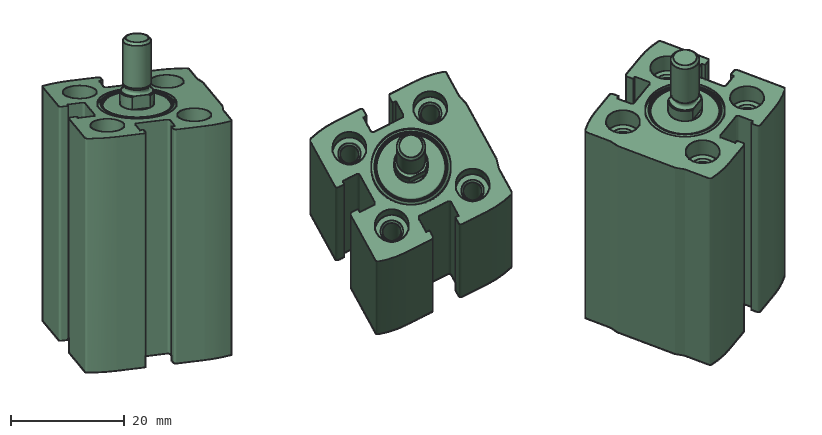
import cadquery as cq
import math

TOTAL_HEIGHT = 57.0
HOUSING_HEIGHT = 44.5
HALF_WIDTH = 13.5
TOP = HOUSING_HEIGHT

SIDE_FLAT_HALF = 8.1
SIDE_CURVE_RADIUS = 17.1
CORNER_FILLET = 0.5
BULGE_HEIGHT = 0.45
BULGE_BASE_HALF = 7.5
BULGE_TOP_HALF = 5.75

SLOT_MOUTH_WIDTH = 5.15
SLOT_INNER_WIDTH = 6.45
SLOT_LIP = 1.65
SLOT_DEPTH = 4.85
SLOT_FILLET = 0.45
SLOT_ANGLES = (0, -90, 180)

HOLE_SPACING = 16.0
HOLE_DIAMETER = 3.25
COUNTERBORE_DIAMETER = 6.0
COUNTERBORE_DEPTH = 3.5
COUNTERSINK_DIAMETER = 4.0

OUTER_GROOVE_RADIUS = 14.0 / 2
OUTER_GROOVE_DEPTH = 0.55
RING_INNER_RADIUS = 6.25
CAP_RADIUS = 12.0 / 2
CAP_FILLET = 0.3
INNER_GROOVE_DEPTH = 0.35

ROD_DIAMETER = 6.0
ROD_INSERTION = 5.0
COLLAR_HEIGHT = 2.5
COLLAR_CHAMFER = 0.15
ACROSS_FLATS = 5.0
THREAD_DIAMETER = 5.0
THREAD_TIP_DIAMETER = 4.1
THREAD_TIP_CHAMFER = 0.5
THREAD_LENGTH = 8.6
NECK_DIAMETER = 3.9
NECK_FILLET = 0.45


def make_profile_block():
    """Extruded outline without slots, symmetric about the YZ plane."""
    curve_center_x = HALF_WIDTH - SIDE_CURVE_RADIUS

    def side_curve_x(y):
        rise = y - SIDE_FLAT_HALF
        return curve_center_x + math.sqrt(SIDE_CURVE_RADIUS**2 - rise**2)

    corner = (side_curve_x(HALF_WIDTH), HALF_WIDTH)
    mid_y = (SIDE_FLAT_HALF + HALF_WIDTH) / 2
    mid = (side_curve_x(mid_y), mid_y)
    block = (
        cq.Workplane("XY")
        .moveTo(-corner[0], -corner[1])
        .lineTo(corner[0], -corner[1])
        .threePointArc((mid[0], -mid[1]), (HALF_WIDTH, -SIDE_FLAT_HALF))
        .lineTo(HALF_WIDTH, SIDE_FLAT_HALF)
        .threePointArc(mid, corner)
        .lineTo(BULGE_BASE_HALF, HALF_WIDTH)
        .lineTo(BULGE_TOP_HALF, HALF_WIDTH + BULGE_HEIGHT)
        .lineTo(-BULGE_TOP_HALF, HALF_WIDTH + BULGE_HEIGHT)
        .lineTo(-BULGE_BASE_HALF, HALF_WIDTH)
        .lineTo(-corner[0], corner[1])
        .threePointArc((-mid[0], mid[1]), (-HALF_WIDTH, SIDE_FLAT_HALF))
        .lineTo(-HALF_WIDTH, -SIDE_FLAT_HALF)
        .threePointArc((-mid[0], -mid[1]), (-corner[0], -corner[1]))
        .close()
        .extrude(HOUSING_HEIGHT)
    )
    corner_points = [(sx * corner[0], sy * corner[1]) for sx in (-1, 1) for sy in (-1, 1)]
    for x, y in corner_points:
        edge = cq.selectors.NearestToPointSelector((x, y, HOUSING_HEIGHT / 2))
        block = block.edges("|Z").edges(edge).fillet(CORNER_FILLET)
    return block


def make_slot():
    """T-slot cutter open toward +X, with rounded mouth edges and floor corners."""
    floor_x = HALF_WIDTH - SLOT_DEPTH
    lip_x = HALF_WIDTH - SLOT_LIP
    mouth_half = SLOT_MOUTH_WIDTH / 2
    round_start_x = HALF_WIDTH - SLOT_FILLET
    round_end_y = mouth_half + SLOT_FILLET
    mouth = (
        cq.Workplane("XY")
        .moveTo(lip_x, -mouth_half)
        .lineTo(round_start_x, -mouth_half)
        .radiusArc((HALF_WIDTH, -round_end_y), SLOT_FILLET)
        .lineTo(HALF_WIDTH, round_end_y)
        .radiusArc((round_start_x, mouth_half), SLOT_FILLET)
        .lineTo(lip_x, mouth_half)
        .close()
        .extrude(HOUSING_HEIGHT)
    )
    chamber = (
        cq.Workplane("XY")
        .center((floor_x + lip_x) / 2, 0)
        .rect(lip_x - floor_x, SLOT_INNER_WIDTH)
        .extrude(HOUSING_HEIGHT)
        .edges("|Z and <X")
        .fillet(SLOT_FILLET)
    )
    return mouth.union(chamber)


def make_mounting_hole():
    """Cutter on the Z axis: through hole, 45 degree countersink and counterbore."""
    floor_z = TOP - COUNTERBORE_DEPTH
    hole_radius = HOLE_DIAMETER / 2
    sink_radius = COUNTERSINK_DIAMETER / 2
    bore_radius = COUNTERBORE_DIAMETER / 2
    return (
        cq.Workplane("XZ")
        .moveTo(0, 0)
        .lineTo(hole_radius, 0)
        .lineTo(hole_radius, floor_z - (sink_radius - hole_radius))
        .lineTo(sink_radius, floor_z)
        .lineTo(bore_radius, floor_z)
        .lineTo(bore_radius, TOP)
        .lineTo(0, TOP)
        .close()
        .revolve(360, (0, 0), (0, 1))
    )


def make_outer_groove():
    """Ring cutter with a vertical outer wall and a 45 degree inner wall."""
    return (
        cq.Workplane("XZ")
        .moveTo(OUTER_GROOVE_RADIUS, TOP)
        .lineTo(OUTER_GROOVE_RADIUS, TOP - OUTER_GROOVE_DEPTH)
        .lineTo(OUTER_GROOVE_RADIUS - OUTER_GROOVE_DEPTH, TOP)
        .close()
        .revolve(360, (0, 0), (0, 1))
    )


def make_inner_groove():
    """Ring cutter between the cap's rounded edge and the ring around it."""
    floor_z = TOP - INNER_GROOVE_DEPTH
    return (
        cq.Workplane("XZ")
        .moveTo(RING_INNER_RADIUS, TOP)
        .lineTo(RING_INNER_RADIUS, floor_z)
        .lineTo(CAP_RADIUS, floor_z)
        .lineTo(CAP_RADIUS, TOP - CAP_FILLET)
        .radiusArc((CAP_RADIUS - CAP_FILLET, TOP), -CAP_FILLET)
        .close()
        .revolve(360, (0, 0), (0, 1))
    )


def make_housing():
    housing = make_profile_block()

    slot = make_slot()
    for angle in SLOT_ANGLES:
        housing = housing.cut(slot.rotate((0, 0, 0), (0, 0, 1), angle))

    hole = make_mounting_hole()
    hole_offset = HOLE_SPACING / 2
    for x in (-hole_offset, hole_offset):
        for y in (-hole_offset, hole_offset):
            housing = housing.cut(hole.translate((x, y, 0)))

    housing = housing.cut(make_outer_groove()).cut(make_inner_groove())

    rod_bore = (
        cq.Workplane("XY", origin=(0, 0, TOP - ROD_INSERTION))
        .circle(ROD_DIAMETER / 2)
        .extrude(ROD_INSERTION)
    )
    return housing.cut(rod_bore)


def make_rod():
    """Turned rod with a threaded end, a relief neck and two wrench flats on the collar."""
    rod_radius = ROD_DIAMETER / 2
    thread_radius = THREAD_DIAMETER / 2
    neck_radius = NECK_DIAMETER / 2
    collar_z = TOP + COLLAR_HEIGHT
    thread_z = TOTAL_HEIGHT - THREAD_LENGTH
    rod = (
        cq.Workplane("XZ")
        .moveTo(0, TOP - ROD_INSERTION)
        .lineTo(rod_radius, TOP - ROD_INSERTION)
        .lineTo(rod_radius, collar_z - COLLAR_CHAMFER)
        .lineTo(rod_radius - COLLAR_CHAMFER, collar_z)
        .lineTo(neck_radius + NECK_FILLET, collar_z)
        .radiusArc((neck_radius, collar_z + NECK_FILLET), NECK_FILLET)
        .lineTo(neck_radius, thread_z - (thread_radius - neck_radius))
        .lineTo(thread_radius, thread_z)
        .lineTo(thread_radius, TOTAL_HEIGHT - THREAD_TIP_CHAMFER)
        .lineTo(THREAD_TIP_DIAMETER / 2, TOTAL_HEIGHT)
        .lineTo(0, TOTAL_HEIGHT)
        .close()
        .revolve(360, (0, 0), (0, 1))
    )
    between_flats = (
        cq.Workplane("XY", origin=(0, 0, TOP))
        .rect(ACROSS_FLATS, ROD_DIAMETER)
        .extrude(COLLAR_HEIGHT)
    )
    collar_blank = (
        cq.Workplane("XY", origin=(0, 0, TOP))
        .circle(rod_radius)
        .extrude(COLLAR_HEIGHT)
    )
    return rod.cut(collar_blank.cut(between_flats))


housing = make_housing()
rod = make_rod()
result = cq.Compound.makeCompound([housing.solids().val(), rod.solids().val()])